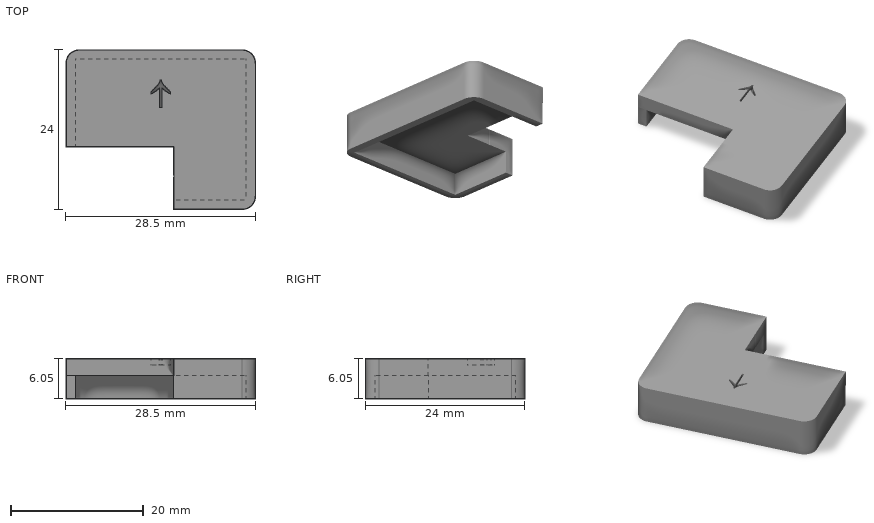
import math

import cadquery as cq

LENGTH = 28.5
WIDTH = 24.0
HEIGHT = 6.05
CORNER_RADIUS = 2.0

WALL = 1.4
CAVITY_DEPTH = 3.5

CUTOUT_LENGTH = 16.2
CUTOUT_WIDTH = 9.4
LEFT_WALL_SETBACK = 0.1

GROOVE_RADIUS = 0.7
GROOVE_CHORD = 0.43
GROOVE_Y = 5.0

ENGRAVING_DEPTH = 1.0
ARROW_X = LENGTH / 2
ARROW_TAIL_Y = 15.36
ARROW_HEIGHT = 4.08
SHAFT_HALF_WIDTH = 0.16
SHAFT_LENGTH = 2.93
TIP_HALF_WIDTH = 0.08
SHOULDER_HALF_WIDTH = 0.27
SHOULDER_HEIGHT = 3.55
BARB_HALF_SPAN = 1.44
BARB_TOP_HEIGHT = 2.33
BARB_BOTTOM_HEIGHT = 2.02
BARB_BEND_HALF_SPAN = 0.85
BARB_BEND_HEIGHT = 2.36


def corner_block(length, width, height):
    """Block with one corner at the origin, extending along +X, +Y and +Z."""
    return cq.Workplane("XY").box(length, width, height, centered=False)


def make_body():
    """Outer block with its three remaining upright corners rounded."""
    body = corner_block(LENGTH, WIDTH, HEIGHT)
    body = body.edges("|Z").edges(">X or >Y").fillet(CORNER_RADIUS)
    return body.cut(corner_block(CUTOUT_LENGTH, CUTOUT_WIDTH, HEIGHT))


def make_cavity():
    """Square-cornered space below the roof, enclosed by the side walls."""
    cavity = corner_block(LENGTH - 2 * WALL, WIDTH - 2 * WALL, CAVITY_DEPTH)
    return cavity.translate((WALL, WALL, 0))


def make_wall_setback():
    """Clearance that shortens the left wall below the roof."""
    return corner_block(WALL, CUTOUT_WIDTH + LEFT_WALL_SETBACK, CAVITY_DEPTH)


def make_groove():
    """Cylinder that grazes the cut-out face over the groove chord."""
    axis_offset = math.sqrt(GROOVE_RADIUS**2 - (GROOVE_CHORD / 2) ** 2)
    groove = cq.Workplane("XY").circle(GROOVE_RADIUS).extrude(HEIGHT)
    return groove.translate((CUTOUT_LENGTH - axis_offset, GROOVE_Y, 0))


def make_arrow():
    """Arrow outline, sunk from the roof face to the engraving depth."""
    arrow = (
        cq.Workplane("XY")
        .moveTo(-SHAFT_HALF_WIDTH, 0)
        .lineTo(SHAFT_HALF_WIDTH, 0)
        .lineTo(SHAFT_HALF_WIDTH, SHAFT_LENGTH)
        .threePointArc((BARB_BEND_HALF_SPAN, BARB_BEND_HEIGHT), (BARB_HALF_SPAN, BARB_BOTTOM_HEIGHT))
        .lineTo(BARB_HALF_SPAN, BARB_TOP_HEIGHT)
        .lineTo(SHOULDER_HALF_WIDTH, SHOULDER_HEIGHT)
        .lineTo(TIP_HALF_WIDTH, ARROW_HEIGHT)
        .lineTo(-TIP_HALF_WIDTH, ARROW_HEIGHT)
        .lineTo(-SHOULDER_HALF_WIDTH, SHOULDER_HEIGHT)
        .lineTo(-BARB_HALF_SPAN, BARB_TOP_HEIGHT)
        .lineTo(-BARB_HALF_SPAN, BARB_BOTTOM_HEIGHT)
        .threePointArc((-BARB_BEND_HALF_SPAN, BARB_BEND_HEIGHT), (-SHAFT_HALF_WIDTH, SHAFT_LENGTH))
        .close()
        .extrude(ENGRAVING_DEPTH)
    )
    return arrow.translate((ARROW_X, ARROW_TAIL_Y, HEIGHT - ENGRAVING_DEPTH))


result = (
    make_body()
    .cut(make_cavity())
    .cut(make_wall_setback())
    .cut(make_groove())
    .cut(make_arrow())
)